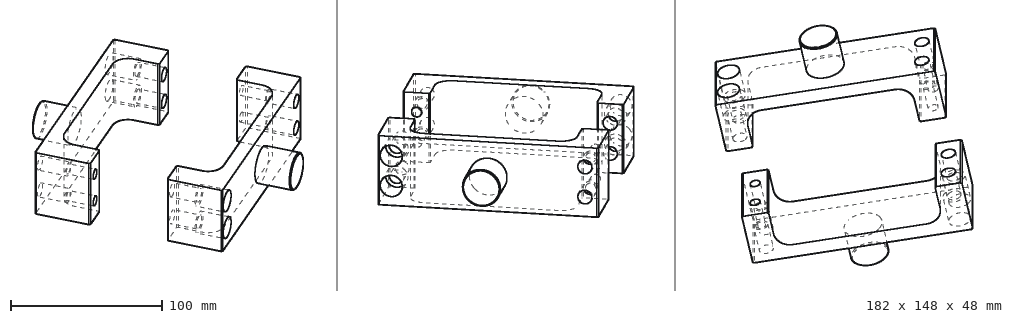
import cadquery as cq

overall_length = 182.0
boss_length = 25.0
back_x = overall_length / 2 - boss_length
bracket_length = 148.0
bracket_height = 48.0
bracket_depth = 39.0

web_thickness = 10.0
arm_thickness = 18.0
inner_radius = 11.0
corner_chamfer = 1.0

boss_diameter = 25.5
boss_chamfer = 0.7

hole_spacing = 21.0
hole_y = (bracket_length - arm_thickness) / 2
clearance_diameter = 9.5
counterbore_diameter = 14.7
counterbore_depth = 20.0
tap_diameter = 6.7
tap_relief_depth = 20.0


def make_c_block():
    """C-shaped block with its back at -X and its arms reaching toward +X."""
    block = (
        cq.Workplane("XY")
        .box(bracket_depth, bracket_length, bracket_height, centered=(False, True, True))
        .translate((-back_x, 0, 0))
        .edges("|Z")
        .chamfer(corner_chamfer)
    )
    pocket = (
        cq.Workplane("XY")
        .box(
            bracket_depth,
            bracket_length - 2 * arm_thickness,
            bracket_height,
            centered=(False, True, True),
        )
        .edges("|Z and <X")
        .fillet(inner_radius)
        .translate((web_thickness - back_x, 0, 0))
    )
    return block.cut(pocket).edges(arm_tip_selector()).chamfer(corner_chamfer)


def arm_tip_selector():
    """Select the inner vertical edges at the ends of both arms."""
    tip_x = bracket_depth - back_x
    tip_y = bracket_length / 2 - arm_thickness
    reach = corner_chamfer / 2
    return cq.selectors.BoxSelector(
        (tip_x - reach, -tip_y - reach, -bracket_height),
        (tip_x + reach, tip_y + reach, bracket_height),
    )


def make_boss():
    """Round boss with a chamfered end, standing on the back face."""
    return (
        cq.Workplane("YZ", origin=(-back_x, 0, 0))
        .circle(boss_diameter / 2)
        .extrude(-boss_length)
        .faces("<X")
        .chamfer(boss_chamfer)
    )


def hole_pair(y, diameter, depth):
    """Pair of cylinders running from the back face into one arm."""
    return (
        cq.Workplane("YZ", origin=(-back_x, y, 0))
        .rarray(1.8, hole_spacing, 1, 2)
        .circle(diameter / 2)
        .extrude(depth)
    )


def make_bracket():
    """One complete clamp half, on the -X side."""
    return (
        make_c_block()
        .union(make_boss())
        .cut(hole_pair(hole_y, clearance_diameter, bracket_depth))
        .cut(hole_pair(hole_y, counterbore_diameter, counterbore_depth))
        .cut(hole_pair(-hole_y, tap_diameter, bracket_depth))
        .cut(hole_pair(-hole_y, clearance_diameter, tap_relief_depth))
    )


brackets = [make_bracket().rotate((0, 0, 0), (0, 0, 1), angle) for angle in (0, 180)]

result = cq.Compound.makeCompound([bracket.val() for bracket in brackets])